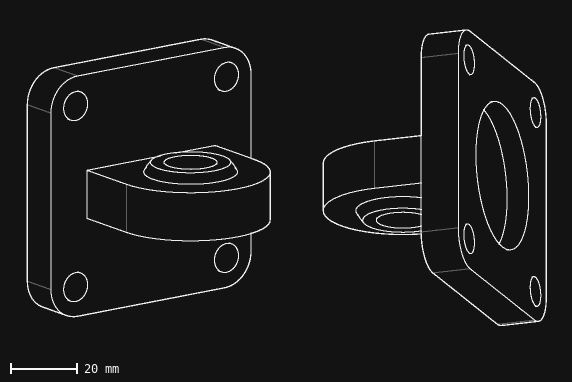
import cadquery as cq

flange_side = 75.0
flange_thickness = 12.0
corner_radius = 10.0
bolt_spacing = 56.5
bolt_hole_diameter = 9.0
recess_diameter = 45.0
recess_depth = 7.0

eye_x = 32.0
lug_radius = 24.0
lug_thickness = 15.0

ball_height = 21.0
ball_diameter = 32.0
bore_diameter = 16.0


def make_flange():
    """Rounded square plate with four bolt holes and a round rear recess."""
    plate = (
        cq.Workplane("YZ")
        .rect(flange_side, flange_side)
        .extrude(flange_thickness)
        .edges("|X")
        .fillet(corner_radius)
    )
    bolt_holes = (
        cq.Workplane("YZ")
        .rect(bolt_spacing, bolt_spacing, forConstruction=True)
        .vertices()
        .circle(bolt_hole_diameter / 2)
        .extrude(flange_thickness)
    )
    recess = cq.Workplane("YZ").circle(recess_diameter / 2).extrude(recess_depth)
    return plate.cut(bolt_holes).cut(recess)


def make_lug():
    """Straight-sided tongue ending in a half circle around the eye."""
    return (
        cq.Workplane("XY")
        .workplane(offset=-lug_thickness / 2)
        .moveTo(flange_thickness, -lug_radius)
        .lineTo(eye_x, -lug_radius)
        .threePointArc((eye_x + lug_radius, 0), (eye_x, lug_radius))
        .lineTo(flange_thickness, lug_radius)
        .close()
        .extrude(lug_thickness)
    )


def make_ball():
    """Sphere on the eye centre, trimmed to flat end faces."""
    flat_band = cq.Workplane("XY").box(ball_diameter, ball_diameter, ball_height)
    ball = cq.Workplane("XY").sphere(ball_diameter / 2).intersect(flat_band)
    return ball.translate((eye_x, 0, 0))


bore = (
    cq.Workplane("XY")
    .center(eye_x, 0)
    .circle(bore_diameter / 2)
    .extrude(ball_height / 2, both=True)
)

result = make_flange().union(make_lug()).union(make_ball()).cut(bore)